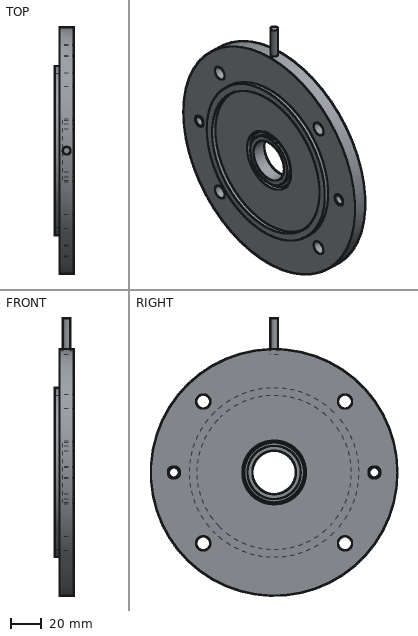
import cadquery as cq
import math

total_thickness = 12.5
flange_diameter = 160.0
flange_radius = flange_diameter / 2
overall_height = 179.9

rim_height = 3.0
rim_outer_diameter = 110.0
rim_inner_diameter = 100.0
recess_depth = rim_height
housing_bore = 41.0

hub_diameter = 39.0
hub_start = 5.0
sleeve_diameter = 34.5
sleeve_bore = 28.0
sleeve_start = 2.7

mount_hole_diameter = 9.0
mount_circle_diameter = 129.9
mount_hole_count = 4
bushing_diameter = 8.0
bushing_bore = 6.5
bushing_circle_diameter = mount_circle_diameter

cable_diameter = 5.0
cable_insertion = 3.6
cable_x = (rim_height + total_thickness) / 2
cable_top = overall_height - flange_radius
cable_bottom = flange_radius - cable_insertion


def cylinder_x(diameter, start, end, y=0.0, z=0.0):
    """Cylinder parallel to X, from x = start to x = end."""
    base = cq.Workplane("YZ", origin=(start, y, z))
    return base.circle(diameter / 2).extrude(end - start)


def ring_x(outer, inner, start, end, y=0.0, z=0.0):
    """Plain ring parallel to X."""
    return cylinder_x(outer, start, end, y, z).cut(cylinder_x(inner, start, end, y, z))


def make_cable():
    """Round cable that rises from the rim of the flange."""
    base = cq.Workplane("XY", origin=(cable_x, 0, cable_bottom))
    return base.circle(cable_diameter / 2).extrude(cable_top - cable_bottom)


def mount_positions():
    """Centres (y, z) of the mounting holes, on the diagonals."""
    radius = mount_circle_diameter / 2
    step = 2 * math.pi / mount_hole_count
    angles = [(i + 0.5) * step for i in range(mount_hole_count)]
    return [(radius * math.cos(a), radius * math.sin(a)) for a in angles]


bushing_positions = [side * bushing_circle_diameter / 2 for side in (-1, 1)]


def make_housing():
    """Flange with its rim, recess, bore, and seats for bushings and cable."""
    body = cylinder_x(flange_diameter, rim_height, total_thickness)
    body = body.union(cylinder_x(rim_outer_diameter, 0, rim_height))
    body = body.cut(cylinder_x(rim_inner_diameter, 0, recess_depth))
    body = body.cut(cylinder_x(housing_bore, 0, total_thickness))
    for y, z in mount_positions():
        body = body.cut(cylinder_x(mount_hole_diameter, 0, total_thickness, y, z))
    for y in bushing_positions:
        body = body.cut(cylinder_x(bushing_diameter, 0, total_thickness, y))
    return body.cut(make_cable())


def make_bushing(y):
    """Bushing through the full thickness of the flange."""
    return ring_x(bushing_diameter, bushing_bore, rim_height, total_thickness, y)


housing = make_housing()
hub = ring_x(hub_diameter, sleeve_diameter, hub_start, total_thickness)
sleeve = ring_x(sleeve_diameter, sleeve_bore, sleeve_start, total_thickness)
bushings = [make_bushing(y) for y in bushing_positions]
cable = make_cable()

result = cq.Compound.makeCompound(
    [housing.val(), hub.val(), sleeve.val(), *[b.val() for b in bushings], cable.val()]
)